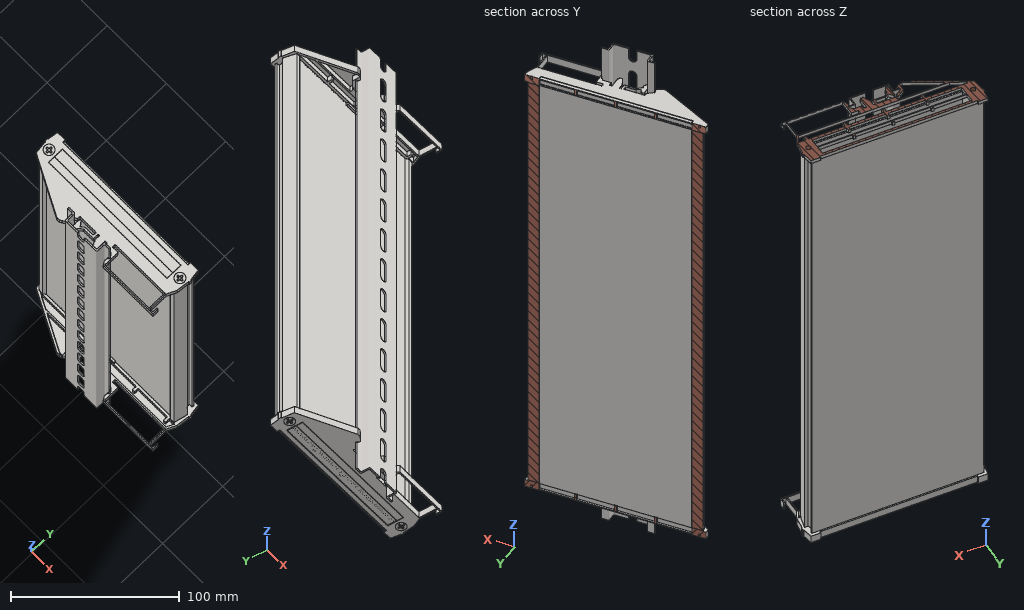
import cadquery as cq

rail_length = 350
rail_width = 35.0
rail_depth = 7.5
rail_web_width = 27.0
rail_sheet = 1.0
rail_bend_radius = 0.7
rail_front = -19.5
slot_count = 15
slot_pitch = rail_length / (slot_count - 1)
slot_length = 18.0
slot_width = 5.2
flange_end = rail_width / 2
flange_back = rail_front + rail_depth
flange_front = flange_back - rail_sheet

channel_length = 296.0
channel_end = channel_length / 2
wall_top = 16.0
wall_top_half = 55.3
wall_root_half = 56.7
wall_inner_half = 50.0
waist_half = 59.0
waist_level = 11.0
foot_outer_half = 57.0
foot_inner_half = 54.2
foot_level = 1.8
floor_half = 52.0
floor_level = 3.0
floor_thickness = 1.8

cover_half = 57.8
cover_thickness = 1.5

bracket_thickness = 5.2
bracket_end = channel_end + bracket_thickness
shoulder_half = 59.5
side_half = 60.5
bracket_width = 122.0
nub_half = bracket_width / 2
nub_top = 12.5
nub_bottom = 10.5
pad_top = 19.5
pad_inner_half = 53.0
bracket_top = 18.5
block_bottom = -4.5
arm_tip_x = -22.5
arm_tip_level = -17.5
pedestal_left = -13.3
pedestal_right = 13.5
pedestal_level = -7.5
latch_top = -6.5
latch_outer = 18.38
lever_thickness = 0.88
lever_bottom = -18.5
lever_top = lever_bottom + lever_thickness
lever_end = 60.0
lip_top = -14.5
lip_inner = lever_end - lever_thickness
strut_inner = 55.5
strut_outer = strut_inner + lever_thickness

shallow_depth = 0.28
deep_depth = 0.52
panel_half = 50.0
shallow_field = (2.8, 7.7)
deep_field = (7.7, 14.5)
top_step_level = 17.5

face_thickness = 1.22
hollow_range = (channel_end, bracket_end - face_thickness)
upper_hollow = (11.0, 16.5)
middle_hollow = (4.0, 9.8)
lower_hollow = (-3.5, 1.5)
rib_width = 1.8
rib_pitch = 26.2
upper_rib_height = 1.5
middle_rib_height = 2.0
lower_rib_height = 3.0
left_rim_inset = 3.5
right_rim_inset = 1.5
web_tip_level = -16.5
web_hook_x = -19.0
web_right = -12.5
tab_half = 6.3
tab_overlap = 2.0

screw_x = 55.3
screw_y = 8.5
head_radius = 3.5
head_height = 2.0
shank_radius = 1.5
shank_length = 14.0
drive_length = 4.2
drive_width = 1.0
drive_depth = 1.0


def mirrored_outline(right_points):
    """Close a chain of right-hand points with its mirror image across X = 0."""
    return right_points + [(-x, y) for x, y in reversed(right_points)]


def prism(points, z_range):
    start, end = z_range
    return cq.Workplane("XY", origin=(0, 0, start)).polyline(points).close().extrude(end - start)


def block(x_range, y_range, z_range):
    corner = (x_range[0], y_range[0], z_range[0])
    size = (x_range[1] - x_range[0], y_range[1] - y_range[0], z_range[1] - z_range[0])
    return cq.Workplane("XY").box(*size, centered=False).translate(corner)


def make_rail():
    web_half = rail_web_width / 2
    web_inner_half = web_half - rail_sheet
    web_back = rail_front + rail_sheet
    section = mirrored_outline([
        (web_half, rail_front),
        (web_half, flange_front),
        (flange_end, flange_front),
        (flange_end, flange_back),
        (web_inner_half, flange_back),
        (web_inner_half, web_back),
    ])
    rail = prism(section, (-rail_length / 2, rail_length / 2))
    bend_corners = mirrored_outline([
        (web_half, rail_front),
        (web_half, flange_front),
        (web_inner_half, flange_back),
        (web_inner_half, web_back),
    ])
    for x, y in bend_corners:
        rail = rail.edges(cq.selectors.NearestToPointSelector((x, y, 0))).fillet(rail_bend_radius)
    slots = (
        cq.Workplane("XZ", origin=(0, web_back, 0))
        .rarray(3.5, slot_pitch, 1, slot_count)
        .slot2D(slot_length, slot_width, 90)
        .extrude(rail_sheet)
    )
    return rail.cut(slots)


def make_channel():
    section = mirrored_outline([
        (floor_half, floor_level),
        (foot_inner_half, foot_level),
        (foot_outer_half, foot_level),
        (waist_half, waist_level),
        (wall_root_half, waist_level),
        (wall_top_half, wall_top),
        (wall_inner_half, wall_top),
        (wall_inner_half, floor_level + floor_thickness),
    ])
    return prism(section, (-channel_end, channel_end))


def make_cover():
    cover_top = wall_top + cover_thickness
    return block((-cover_half, cover_half), (wall_top, cover_top), (-channel_end, channel_end))


def arm_edge_x(level, inset):
    """X of the sloping lower edge of the bracket arm at a level, moved inward by an inset."""
    slope = (arm_tip_x + shoulder_half) / (foot_level - arm_tip_level)
    return -shoulder_half + slope * (foot_level - level) + inset


def right_edge_x(level, inset):
    """X of the right lower edge of the bracket at a level, moved inward by an inset."""
    slope = (shoulder_half - strut_outer) / (foot_level - block_bottom)
    return shoulder_half - slope * (foot_level - level) - inset


def bracket_outline():
    left_side = [
        (-pad_inner_half, bracket_top),
        (-pad_inner_half, pad_top),
        (-shoulder_half, pad_top),
        (-side_half, nub_top),
        (-nub_half, nub_top),
        (-nub_half, nub_bottom),
        (-side_half, nub_bottom),
        (-shoulder_half, foot_level),
    ]
    arm_hook = [
        (arm_tip_x, arm_tip_level),
        (-20.3, arm_tip_level),
        (-16.8, -15.5),
        (-16.8, flange_front),
        (-flange_end, flange_front),
        (-flange_end, flange_back),
        (pedestal_left, -9.0),
        (pedestal_left, pedestal_level),
    ]
    spring = [
        (0.5, pedestal_level),
        (0.5, -9.8),
        (-6.3, -9.8),
        (-8.8, -11.5),
        (-11.2, -8.5),
        (-12.2, -9.0),
        (-12.0, -18.0),
        (-10.5, -18.0),
        (-8.8, -15.0),
        (-9.0, -13.5),
        (-6.3, -11.2),
        (2.0, -11.2),
        (2.0, pedestal_level),
    ]
    finger = [
        (3.0, pedestal_level),
        (3.0, -11.0),
        (5.5, -16.0),
        (7.5, -16.0),
        (8.0, -15.0),
        (8.0, pedestal_level),
    ]
    latch = [
        (9.8, pedestal_level),
        (9.8, -9.8),
        (15.5, -9.8),
        (flange_end, flange_back),
        (flange_end, flange_front),
        (16.5, flange_front),
        (16.5, -16.5),
        (18.0, lever_bottom),
        (lever_end, lever_bottom),
        (lever_end, lip_top),
        (lip_inner, lip_top),
        (lip_inner, lever_top),
        (strut_outer, lever_top),
        (strut_outer, block_bottom),
    ]
    right_side = [(-x, y) for x, y in reversed(left_side)]
    return left_side + arm_hook + spring + finger + latch + right_side


def latch_window():
    return [
        (latch_outer, lever_top),
        (strut_inner, lever_top),
        (strut_inner, block_bottom),
        (pedestal_right, block_bottom),
        (pedestal_right, latch_top),
        (latch_outer, latch_top),
    ]


def lower_hollow_outline():
    """Strip across the bracket between its sloping lower edges."""
    low, high = lower_hollow
    return [
        (arm_edge_x(high, left_rim_inset), high),
        (right_edge_x(high, right_rim_inset), high),
        (right_edge_x(low, right_rim_inset), low),
        (arm_edge_x(low, left_rim_inset), low),
    ]


def web_outline():
    """Field of the arm below the block, bounded by the arm edge and the hook."""
    return [
        (arm_edge_x(block_bottom, left_rim_inset), block_bottom),
        (arm_edge_x(web_tip_level, left_rim_inset), web_tip_level),
        (web_hook_x, web_tip_level),
        (web_hook_x, -11.0),
        (-14.7, -7.7),
        (web_right, -6.3),
        (web_right, block_bottom),
    ]


def cut_outer_relief(bracket):
    panel = (-panel_half, panel_half)
    pad_gap = (-pad_inner_half, pad_inner_half)
    reliefs = [
        (panel, shallow_field, shallow_depth),
        (panel, deep_field, deep_depth),
        (pad_gap, (top_step_level, bracket_top), shallow_depth),
    ]
    for x_range, y_range, depth in reliefs:
        bracket = bracket.cut(block(x_range, y_range, (bracket_end - depth, bracket_end)))
    return bracket


def leave_ribs(hollow, y_range, indices):
    """Remove short upright ribs from a hollow's volume, so that they stay solid."""
    for index in indices:
        left = index * rib_pitch - rib_width / 2
        hollow = hollow.cut(block((left, left + rib_width), y_range, hollow_range))
    return hollow


def cut_inner_hollows(bracket):
    panel = (-panel_half, panel_half)
    for field, rib_height in ((upper_hollow, upper_rib_height), (middle_hollow, middle_rib_height)):
        rib_range = (field[0], field[0] + rib_height)
        hollow = leave_ribs(block(panel, field, hollow_range), rib_range, (-1, 0, 1))
        bracket = bracket.cut(hollow)
    rib_range = (lower_hollow[1] - lower_rib_height, lower_hollow[1])
    hollow = leave_ribs(prism(lower_hollow_outline(), hollow_range), rib_range, (-1, 0, 1, 2))
    return bracket.cut(hollow).cut(prism(web_outline(), hollow_range))


def make_bracket():
    body_range = (channel_end, bracket_end)
    bracket = prism(bracket_outline(), body_range).cut(prism(latch_window(), body_range))
    bracket = cut_inner_hollows(cut_outer_relief(bracket))
    tab_range = (channel_end - tab_overlap, channel_end)
    tab = block((-tab_half, tab_half), (foot_level, floor_level), tab_range)
    return bracket.union(tab)


def make_screw_blank(x):
    head_base = bracket_end - head_height
    head = cq.Workplane("XY", origin=(x, screw_y, head_base)).circle(head_radius).extrude(head_height)
    return head.faces("<Z").workplane().circle(shank_radius).extrude(shank_length)


def cut_cross_drive(screw, x):
    drive = cq.Workplane("XY", origin=(x, screw_y, bracket_end - drive_depth))
    for size in ((drive_length, drive_width), (drive_width, drive_length)):
        screw = screw.cut(drive.rect(*size).extrude(drive_depth))
    return screw


rail = make_rail()
cover = make_cover()
channel = make_channel()
bracket = make_bracket()
screws = []
for x in (-screw_x, screw_x):
    blank = make_screw_blank(x)
    bracket = bracket.cut(blank)
    channel = channel.cut(blank).cut(blank.mirror("XY"))
    screw = cut_cross_drive(blank, x)
    screws += [screw, screw.mirror("XY")]
brackets = [bracket, bracket.mirror("XY")]

bodies = [rail, channel, cover, *brackets, *screws]
result = cq.Compound.makeCompound([body.solids().val() for body in bodies])